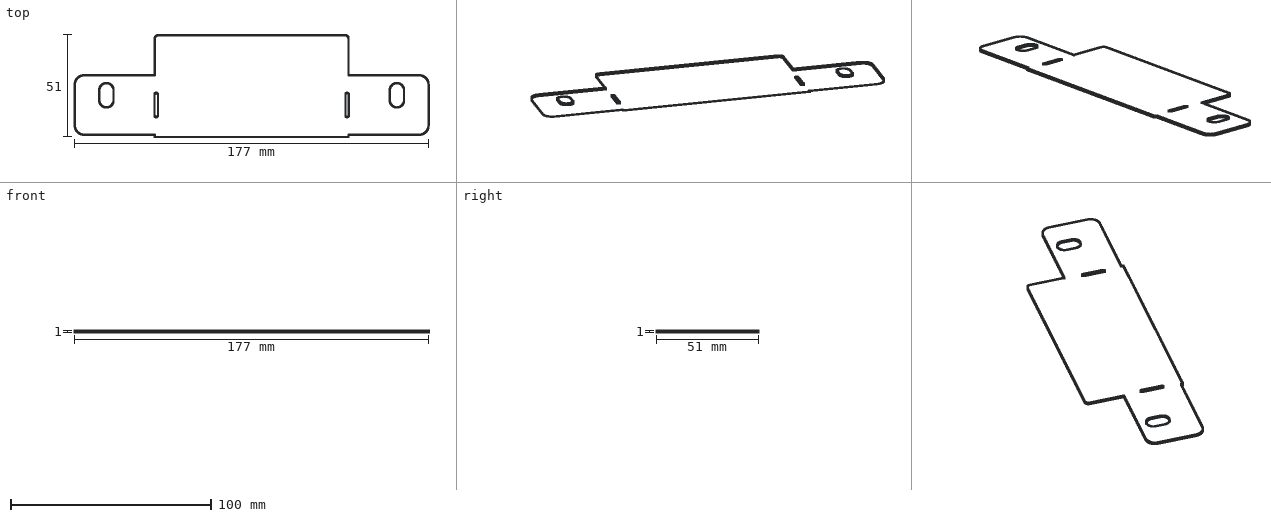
import cadquery as cq

length = 177.0
thickness = 1.0

panel_length = 97.0
panel_width = 51.0
panel_corner_radius = 2.0

tab_width = 30.0
tab_step = 1.0
tab_corner_radius = 5.0

mount_slot_length = 12.0
mount_slot_width = 7.0
mount_slot_end_distance = 16.0
mount_slot_back_distance = 10.1

narrow_slot_length = 12.0
narrow_slot_width = 1.6

tab_front_y = -panel_width / 2 + tab_step
tab_center_y = tab_front_y + tab_width / 2
tab_back_y = tab_front_y + tab_width
mount_slot_x = length / 2 - mount_slot_end_distance
mount_slot_y = tab_back_y - mount_slot_back_distance
narrow_slot_x = panel_length / 2 - narrow_slot_width / 2


def rectangular_plate(size_x, size_y, center_y):
    """Flat plate centred on X and Z."""
    return cq.Workplane("XY").center(0, center_y).box(size_x, size_y, thickness)


def slot_pair(x, y, slot_length, slot_width):
    """Cutters for two round-ended slots along Y, mirrored about X = 0."""
    return (
        cq.Workplane("XY")
        .pushPoints([(-x, y), (x, y)])
        .slot2D(slot_length, slot_width, 90)
        .extrude(thickness, both=True)
    )


panel = rectangular_plate(panel_length, panel_width, 0)
panel = panel.edges("|Z and >Y").fillet(panel_corner_radius)

tabs = rectangular_plate(length, tab_width, tab_center_y)
tabs = tabs.edges("|Z").fillet(tab_corner_radius)

mount_slots = slot_pair(mount_slot_x, mount_slot_y, mount_slot_length, mount_slot_width)
narrow_slots = slot_pair(narrow_slot_x, tab_center_y, narrow_slot_length, narrow_slot_width)

result = panel.union(tabs).cut(mount_slots).cut(narrow_slots)